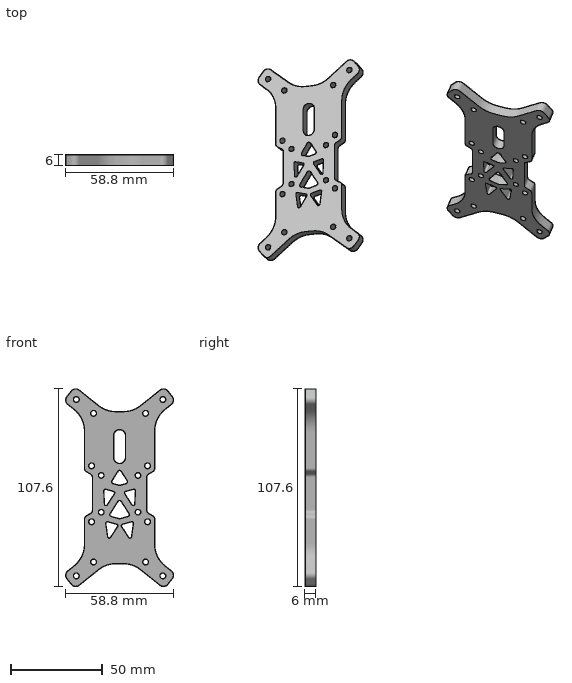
import cadquery as cq
import math

length = 107.6
width = 58.8
thickness = 6.0

body_half_width = 19.2
waist_half_width = 14.9
waist_half_height = 10.1
waist_z = -3.3
shoulder_angle = 30.0
shoulder_radius = 2.0
arm_angle = 38.7
arm_width = 10.0
tip_radius = 3.0
root_radius = 15.0
saddle_half_height = 41.4

mount_hole_diameter = 3.0
small_hole_diameter = 2.9
arm_hole_spacing = 12.1
large_pattern = 30.5
small_pattern = 20.0
slot_width = 6.4
slot_length = 18.3
slot_z = 22.4

center_window_radius = 1.0
side_window_radius = 0.8
upper_center_window = [(0, 10.2), (4.8, 2.6), (0, 1.3)]
lower_center_window = [(0, -6.1), (5.8, -15.3), (0, -16.9)]
upper_side_window = [(2.3, -2.4), (8.6, -0.6), (8.1, -11.4)]
lower_side_window = [(0.5, -20.2), (7.6, -18.3), (6.1, -28.8)]

arm_half_width = arm_width / 2

axis_x = math.cos(math.radians(arm_angle))
axis_z = math.sin(math.radians(arm_angle))
tip_reach = (arm_half_width - tip_radius) * (axis_x + axis_z) + tip_radius
tip_hole_x = width / 2 - tip_reach
tip_hole_z = length / 2 - tip_reach
arm_hole_x = tip_hole_x - arm_hole_spacing * axis_x
arm_hole_z = tip_hole_z - arm_hole_spacing * axis_z


def arm_point(along, across):
    """Point of the upper right arm, measured from its tip hole."""
    x = tip_hole_x + along * axis_x - across * axis_z
    z = tip_hole_z + along * axis_z + across * axis_x
    return x, z


def rounded_outline(corners):
    """Closed wire through (x, z, radius) corners; each corner is replaced by a tangent arc."""
    path = None
    for i, (x, z, radius) in enumerate(corners):
        corner = cq.Vector(x, z)
        before = cq.Vector(*corners[i - 1][:2]) - corner
        after = cq.Vector(*corners[(i + 1) % len(corners)][:2]) - corner
        before = before.normalized()
        after = after.normalized()
        half_angle = before.getAngle(after) / 2
        setback = radius / math.tan(half_angle)
        inward = (before + after).normalized()
        start = corner + before * setback
        middle = corner + inward * (radius / math.sin(half_angle) - radius)
        end = corner + after * setback
        if path is None:
            path = cq.Workplane("XZ").moveTo(start.x, start.y)
        else:
            path = path.lineTo(start.x, start.y)
        path = path.threePointArc((middle.x, middle.y), (end.x, end.y))
    return path.close()


def mirrored(points):
    """The same corners on the other side of the X = 0 plane."""
    return [(-x, z, radius) for x, z, radius in points]


def through(outline):
    """Extrude a closed outline over the full plate thickness."""
    return outline.extrude(thickness / 2, both=True)


def plate():
    upper_edge_x, upper_edge_z = arm_point(0, arm_half_width)
    lower_edge_x, lower_edge_z = arm_point(0, -arm_half_width)
    slope = axis_z / axis_x
    saddle_x = upper_edge_x - (upper_edge_z - saddle_half_height) / slope
    root_z = lower_edge_z - (lower_edge_x - body_half_width) * slope
    shoulder_rise = (body_half_width - waist_half_width) * math.tan(math.radians(shoulder_angle))
    shoulder_half_height = waist_half_height + shoulder_rise
    upper_arm = [
        (saddle_x, saddle_half_height, root_radius),
        (*arm_point(arm_half_width, arm_half_width), tip_radius),
        (*arm_point(arm_half_width, -arm_half_width), tip_radius),
        (body_half_width, root_z, root_radius),
    ]
    waist = [
        (body_half_width, waist_z + shoulder_half_height, shoulder_radius),
        (waist_half_width, waist_z + waist_half_height, shoulder_radius),
        (waist_half_width, waist_z - waist_half_height, shoulder_radius),
        (body_half_width, waist_z - shoulder_half_height, shoulder_radius),
    ]
    lower_arm = [(x, -z, radius) for x, z, radius in reversed(upper_arm)]
    right_side = upper_arm + waist + lower_arm
    return through(rounded_outline(right_side + mirrored(reversed(right_side))))


def mirrored_holes(x, z, diameter, center_z=0):
    """Four holes at (+-x, center_z +- z)."""
    centers = [(side * x, center_z + end * z) for side in (-1, 1) for end in (-1, 1)]
    return through(cq.Workplane("XZ").pushPoints(centers).circle(diameter / 2))


def square_holes(spacing, diameter):
    """Four holes on a square around the waist centre."""
    return mirrored_holes(spacing / 2, spacing / 2, diameter, waist_z)


def center_slot():
    return through(cq.Workplane("XZ").center(0, slot_z).slot2D(slot_length, slot_width, 90))


def center_window(half_outline):
    """Arrowhead window across the X = 0 plane, from its apex, side corner and base corner."""
    apex, side, base = [(x, z, center_window_radius) for x, z in half_outline]
    return through(rounded_outline([apex, side, base] + mirrored([side])))


def side_windows(outline):
    """A triangular window and its mirror image."""
    corners = [(x, z, side_window_radius) for x, z in outline]
    return through(rounded_outline(corners)).union(through(rounded_outline(mirrored(corners))))


result = plate().cut(center_slot())
result = result.cut(mirrored_holes(tip_hole_x, tip_hole_z, mount_hole_diameter))
result = result.cut(mirrored_holes(arm_hole_x, arm_hole_z, mount_hole_diameter))
result = result.cut(square_holes(large_pattern, mount_hole_diameter))
result = result.cut(square_holes(small_pattern, small_hole_diameter))
for window in (upper_center_window, lower_center_window):
    result = result.cut(center_window(window))
for window in (upper_side_window, lower_side_window):
    result = result.cut(side_windows(window))